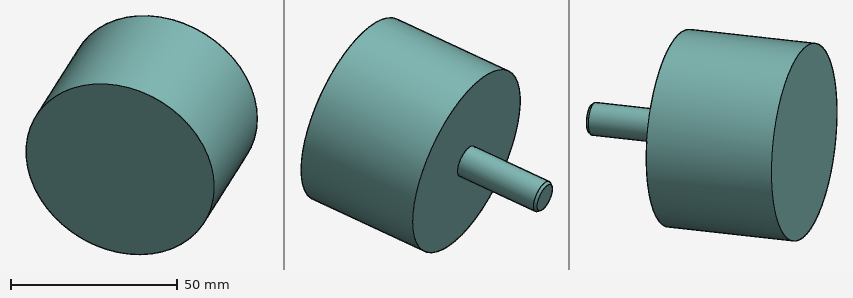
import cadquery as cq

total_length = 68.0
puck_diameter = 60.0
puck_length = 40.0
stud_diameter = 10.0
chamfer_length = 0.9
chamfer_depth = 0.7

stud_length = total_length - puck_length


def cylinder_along_y(diameter, start, length):
    """Solid cylinder from y = start to y = start + length."""
    plane = cq.Workplane("XZ", origin=(0, start, 0))
    return plane.circle(diameter / 2).extrude(-length)


puck = cylinder_along_y(puck_diameter, 0, puck_length)

stud = cylinder_along_y(stud_diameter, puck_length, stud_length)
stud = stud.faces(">Y").chamfer(chamfer_length, chamfer_depth)

result = cq.Compound.makeCompound([puck.val(), stud.val()])